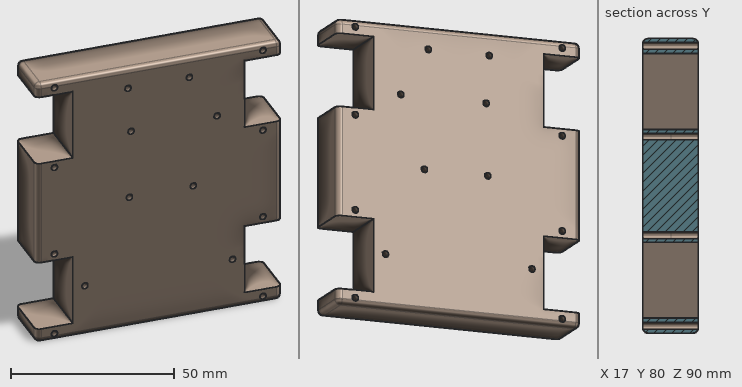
import cadquery as cq

THICKNESS = 17.0
WIDTH = 80.0
HEIGHT = 90.0
EDGE_RADIUS = 1.7

NOTCH_DEPTH = 12.1
NOTCH_HEIGHT = 23.0
MIDDLE_TAB_HEIGHT = 34.5

HOLE_DIAMETER = 2.0
TAB_HOLE_Y = 33.9
END_TAB_HOLE_Z = 42.75
MIDDLE_TAB_HOLE_Z = 15.0

PLATE_HOLES = [
    (10.0, 38.0),
    (-10.0, 38.0),
    (19.0, 22.9),
    (-9.0, 22.9),
    (11.25, 0),
    (-9.5, 0),
    (24.0, -28.0),
    (-24.0, -28.0),
]


def rounded_block():
    return cq.Workplane("XY").box(THICKNESS, WIDTH, HEIGHT).edges().fillet(EDGE_RADIUS)


def side_notches():
    notch_y = (WIDTH - NOTCH_DEPTH) / 2
    notch_z = (MIDDLE_TAB_HEIGHT + NOTCH_HEIGHT) / 2
    centres = [(0, side * notch_y, level * notch_z) for side in (-1, 1) for level in (-1, 1)]
    return cq.Workplane("XY").pushPoints(centres).box(THICKNESS, NOTCH_DEPTH, NOTCH_HEIGHT)


def through_holes():
    tab_levels = (-END_TAB_HOLE_Z, -MIDDLE_TAB_HOLE_Z, MIDDLE_TAB_HOLE_Z, END_TAB_HOLE_Z)
    tab_holes = [(side * TAB_HOLE_Y, z) for side in (-1, 1) for z in tab_levels]
    return (
        cq.Workplane("YZ")
        .pushPoints(tab_holes + PLATE_HOLES)
        .circle(HOLE_DIAMETER / 2)
        .extrude(THICKNESS / 2, both=True)
    )


result = rounded_block().cut(side_notches()).cut(through_holes())